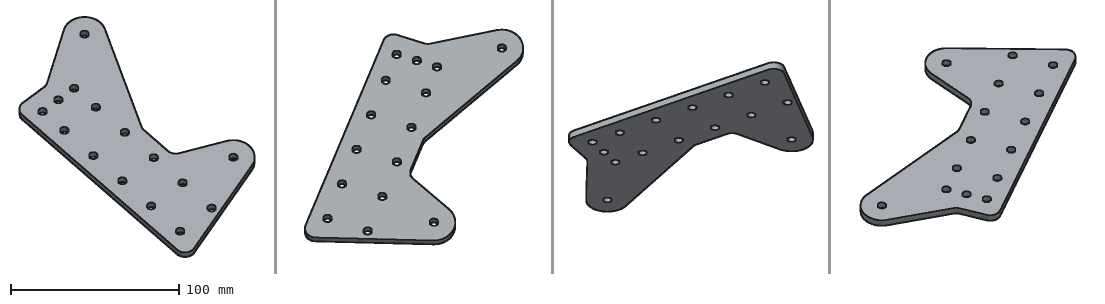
import cadquery as cq
import math

thickness = 4.7
hole_diameter = 5.0
hole_pitch = 25.5
first_column_gap = 0.75 * hole_pitch
pitched_columns = 5
tip_radius = hole_pitch / 2
corner_radius = tip_radius / 2

length = 174.2
width = 83.8
left_tip = (-hole_pitch, 2.25 * hole_pitch)
right_tip = (4 * hole_pitch, 2.375 * hole_pitch)
outer_right = left_tip[0] - tip_radius + length
bottom_edge = right_tip[1] + tip_radius - width
left_edge = -hole_pitch / 2
notch_floor = 1.375 * hole_pitch
notch_left = 51.0
notch_right = 72.0

rounds = [
    (left_tip, tip_radius, 1),
    ((notch_left, notch_floor + corner_radius), corner_radius, -1),
    ((notch_right, notch_floor + corner_radius), corner_radius, -1),
    (right_tip, tip_radius, 1),
    ((outer_right - corner_radius, bottom_edge + corner_radius), corner_radius, 1),
    ((left_edge + corner_radius, bottom_edge + corner_radius), corner_radius, 1),
    ((left_edge - corner_radius, hole_pitch / 2), corner_radius, -1),
]


def point_on_round(center, signed_radius, angle):
    return (
        center[0] + signed_radius * math.cos(angle),
        center[1] + signed_radius * math.sin(angle),
    )


def tangent_normal(start, end):
    """Angle of the outward normal of the edge tangent to two consecutive rounds."""
    (x0, y0), radius0, turn0 = start
    (x1, y1), radius1, turn1 = end
    distance = math.hypot(x1 - x0, y1 - y0)
    heading = math.atan2(y1 - y0, x1 - x0)
    return heading + math.acos((turn0 * radius0 - turn1 * radius1) / distance)


def plate_outline():
    """Closed outline of arcs joined by tangent straight edges."""
    count = len(rounds)
    normals = [tangent_normal(rounds[i], rounds[(i + 1) % count]) for i in range(count)]
    first_center, first_radius, first_turn = rounds[0]
    outline = cq.Workplane("XY").moveTo(
        *point_on_round(first_center, first_turn * first_radius, normals[-1])
    )
    for i, (center, radius, turn) in enumerate(rounds):
        signed_radius = turn * radius
        arrival = normals[i - 1]
        departure = normals[i]
        sweep = -turn * ((turn * (arrival - departure)) % (2 * math.pi))
        middle = point_on_round(center, signed_radius, arrival + sweep / 2)
        arc_end = point_on_round(center, signed_radius, departure)
        outline = outline.threePointArc(middle, arc_end)
        if i < count - 1:
            next_center, next_radius, next_turn = rounds[i + 1]
            outline = outline.lineTo(
                *point_on_round(next_center, next_turn * next_radius, departure)
            )
    return outline.close()


def hole_centers():
    """Two rows of holes, one hole midway up the left column and one in each tip."""
    columns = [0] + [first_column_gap + i * hole_pitch for i in range(pitched_columns)]
    grid = [(x, y) for x in columns for y in (0, hole_pitch)]
    return grid + [(0, hole_pitch / 2), left_tip, right_tip]


plate = plate_outline().extrude(thickness)
holes = cq.Workplane("XY").pushPoints(hole_centers()).circle(hole_diameter / 2).extrude(thickness)
result = plate.cut(holes)